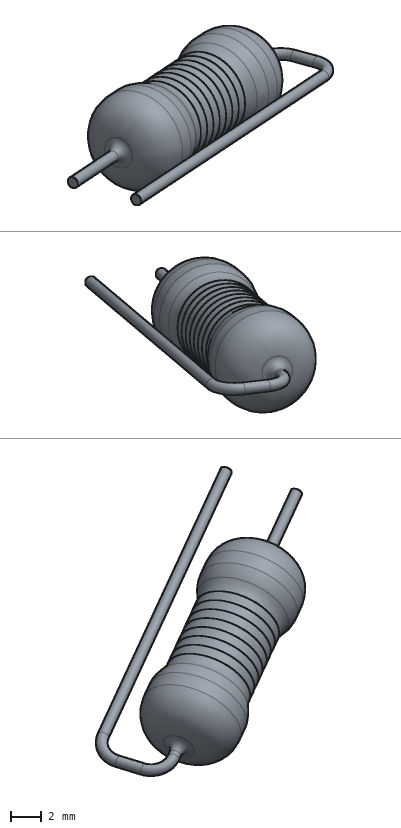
import cadquery as cq


total_length = 25.1
lead_diameter = 0.8
lead_spacing = 5.0
bend_radius = 1.6
bend_top_y = 11.25

end_diameter = 7.0
neck_diameter = 5.95
band_diameter = 5.97
dome_radius = 2.4
flare_radius = 0.68
cap_straight = 1.05
shoulder_length = 2.05
band_width = 0.78
raised_bands = 4

lead_radius = lead_diameter / 2
end_radius = end_diameter / 2
neck_radius = neck_diameter / 2
band_pitch = 2 * band_width
half_neck = (2 * raised_bands - 1) * band_width / 2
shoulder_end_y = half_neck + shoulder_length
dome_start_y = shoulder_end_y + cap_straight
half_body = dome_start_y + dome_radius
lead_end_y = bend_top_y - total_length


def make_body_end():
    """Revolve the bulged +Y end of the body, from the neck to the lead flare."""
    inner_y = half_neck - band_width
    flare_end_y = half_body + flare_radius
    shoulder_middle = ((neck_radius + end_radius) / 2, half_neck + shoulder_length / 2)
    return (
        cq.Workplane("XY")
        .moveTo(0, inner_y)
        .lineTo(neck_radius, inner_y)
        .lineTo(neck_radius, half_neck)
        .tangentArcPoint(shoulder_middle, relative=False)
        .tangentArcPoint((end_radius, shoulder_end_y), relative=False)
        .lineTo(end_radius, dome_start_y)
        .tangentArcPoint((end_radius - dome_radius, half_body), relative=False)
        .lineTo(lead_radius + flare_radius, half_body)
        .tangentArcPoint((lead_radius, flare_end_y), relative=False)
        .lineTo(0, flare_end_y)
        .close()
        .revolve(360, (0, 0, 0), (0, 1, 0))
    )


def make_disc(diameter, center_y, width):
    """Cylinder along Y, centred at the given place."""
    return cq.Workplane("XZ", origin=(0, center_y + width / 2, 0)).circle(diameter / 2).extrude(width)


def make_straight_lead():
    """Lead leaving the -Y end of the body."""
    return cq.Workplane("XZ").circle(lead_radius).extrude(-lead_end_y)


def make_bent_lead():
    """Lead leaving the +Y end and turning back through two right-angle bends."""
    crossbar_y = bend_top_y - lead_radius
    bend_start_y = crossbar_y - bend_radius
    path = (
        cq.Workplane("XY")
        .lineTo(0, bend_start_y)
        .tangentArcPoint((bend_radius, crossbar_y), relative=False)
        .lineTo(lead_spacing - bend_radius, crossbar_y)
        .tangentArcPoint((lead_spacing, bend_start_y), relative=False)
        .lineTo(lead_spacing, lead_end_y)
    )
    return cq.Workplane("XZ").circle(lead_radius).sweep(path)


body_end = make_body_end()
neck = make_disc(neck_diameter, 0, 2 * half_neck)
result = neck.union(body_end).union(body_end.mirror("XZ"))

for index in range(raised_bands):
    band_y = (index - (raised_bands - 1) / 2) * band_pitch
    result = result.union(make_disc(band_diameter, band_y, band_width))

result = result.union(make_straight_lead()).union(make_bent_lead())